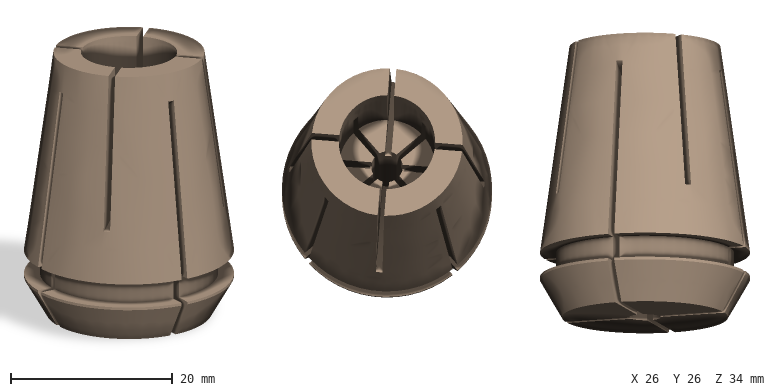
import cadquery as cq
import math

length = 34.0
max_radius = 13.0
taper_angle = 8.0

nose_angle = 30.0
nose_cone_height = 4.73
rim_height = 0.35
groove_width = 3.03
groove_radius = 11.0

clamp_radius = 1.95
relief_radius = 5.95
relief_depth = 13.6

slot_width = 0.8
slots_per_end = 4
nose_saw_radius = 20.4
nose_saw_center = (20.9, 13.35)
rear_saw_radius = 14.28
rear_saw_center = (11.22, 28.85)
slot_reach = 2 * max_radius

rim_top = nose_cone_height + rim_height
cone_base = rim_top + groove_width
nose_radius = max_radius - nose_cone_height * math.tan(math.radians(nose_angle))
rear_radius = max_radius - (length - cone_base) * math.tan(math.radians(taper_angle))


def make_body():
    """Revolve the half profile (radius, height) about Z."""
    floor = length - relief_depth
    return (
        cq.Workplane("XZ")
        .moveTo(clamp_radius, 0)
        .lineTo(nose_radius, 0)
        .lineTo(max_radius, nose_cone_height)
        .lineTo(max_radius, rim_top)
        .lineTo(groove_radius, rim_top)
        .lineTo(groove_radius, cone_base)
        .lineTo(max_radius, cone_base)
        .lineTo(rear_radius, length)
        .lineTo(relief_radius, length)
        .lineTo(relief_radius, floor)
        .lineTo(clamp_radius, floor)
        .close()
        .revolve(360, (0, 0), (0, 1))
    )


def make_slot(saw_radius, saw_center, open_height):
    """Slot along +X whose blind end is a quarter of the saw disc.

    open_height is the end of the body through which the slot runs out.
    """
    center_radius, center_height = saw_center
    rise = math.copysign(saw_radius, center_height - open_height)
    inner_radius = center_radius - saw_radius
    blind_height = center_height + rise
    diagonal = math.sqrt(0.5)
    arc_middle = (center_radius - diagonal * saw_radius, center_height + diagonal * rise)
    return (
        cq.Workplane("XZ")
        .moveTo(inner_radius, open_height)
        .lineTo(inner_radius, center_height)
        .threePointArc(arc_middle, (center_radius, blind_height))
        .lineTo(slot_reach, blind_height)
        .lineTo(slot_reach, open_height)
        .close()
        .extrude(slot_width / 2, both=True)
    )


def cut_slots(body, slot, first_angle):
    """Cut equally spaced copies of a slot around Z."""
    for index in range(slots_per_end):
        angle = first_angle + index * 360 / slots_per_end
        body = body.cut(slot.rotate((0, 0, 0), (0, 0, 1), angle))
    return body


nose_slot = make_slot(nose_saw_radius, nose_saw_center, 0)
rear_slot = make_slot(rear_saw_radius, rear_saw_center, length)

result = make_body()
result = cut_slots(result, nose_slot, 0)
result = cut_slots(result, rear_slot, 180 / slots_per_end)